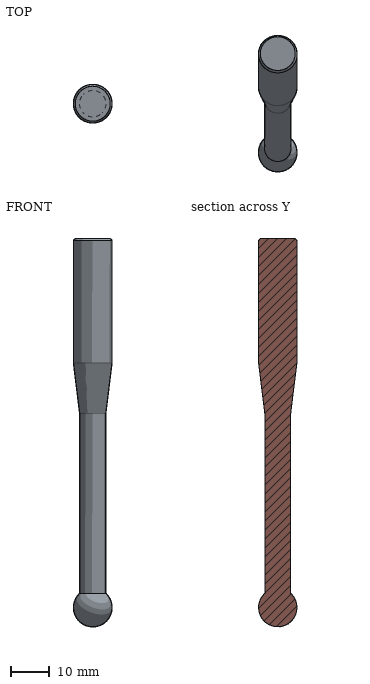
import cadquery as cq
import math

total_length = 100.0
shank_diameter = 10.0
shank_length = 32.0
shank_chamfer = 0.5
taper_length = 13.0
neck_diameter = 6.8
ball_diameter = 10.0

shank_radius = shank_diameter / 2
neck_radius = neck_diameter / 2
ball_radius = ball_diameter / 2
shank_bottom = total_length - shank_length
taper_bottom = shank_bottom - taper_length
neck_bottom = ball_radius + math.sqrt(ball_radius**2 - neck_radius**2)

profile = (
    cq.Workplane("XZ")
    .moveTo(0, 0)
    .threePointArc((ball_radius, ball_radius), (neck_radius, neck_bottom))
    .lineTo(neck_radius, taper_bottom)
    .lineTo(shank_radius, shank_bottom)
    .lineTo(shank_radius, total_length - shank_chamfer)
    .lineTo(shank_radius - shank_chamfer, total_length)
    .lineTo(0, total_length)
    .close()
)

result = profile.revolve(360, (0, 0, 0), (0, 1, 0))